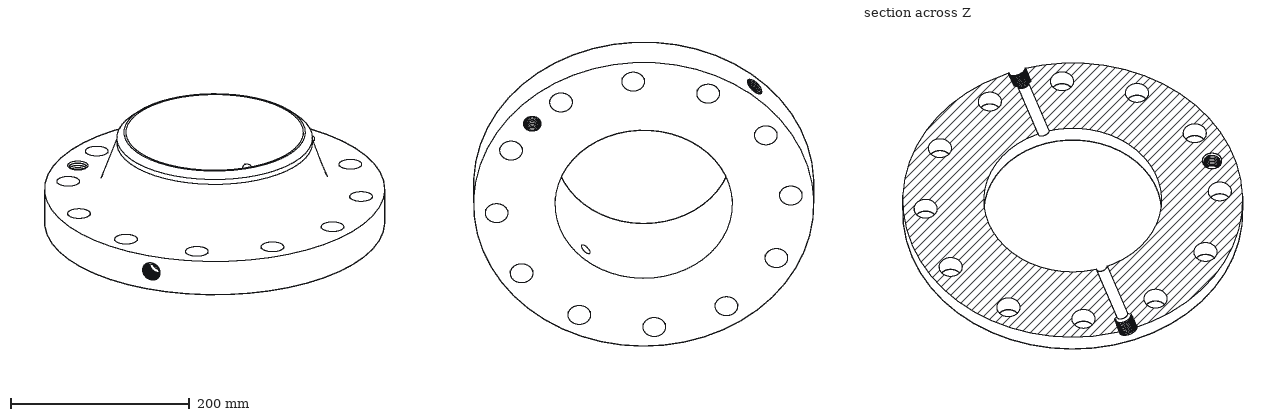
import cadquery as cq
import math


flange_dia = 381.0
flange_thickness = 41.3

total_height = 111.25
hub_base_dia = 260.4
hub_fillet_radius = 3.0
neck_dia = 219.1
bore_dia = 198.5
neck_length = 12.7
weld_land = 2.3
bevel_height = 6.7

bolt_count = 12
bolt_hole_dia = 25.4
bolt_circle_dia = 330.2

jack_major_dia = 22.8
jack_minor_dia = 18.6
jack_pitch = 25.4 / 9

tap_height = 22.2
tap_hole_dia = 12.7
tap_major_dia = 21.3
tap_pitch = 25.4 / 14
tap_thread_height = 1.38
tap_minor_dia = tap_major_dia - 2 * tap_thread_height
tap_thread_count = 11
tap_radius_taper = 1 / 32
drill_tip_half_angle = 59.0

clearance = 2.0


def make_body():
    """Disc, conical hub, bevelled neck and bore, as one revolved section."""
    bore_radius = bore_dia / 2
    neck_radius = neck_dia / 2
    land_radius = bore_radius + weld_land
    section = (
        cq.Workplane("XZ")
        .moveTo(bore_radius, 0)
        .lineTo(flange_dia / 2, 0)
        .lineTo(flange_dia / 2, flange_thickness)
        .lineTo(hub_base_dia / 2, flange_thickness)
        .lineTo(neck_radius, total_height - neck_length)
        .lineTo(neck_radius, total_height - bevel_height)
        .lineTo(land_radius, total_height)
        .lineTo(bore_radius, total_height)
        .close()
    )
    body = section.revolve(360, (0, 0, 0), (0, 1, 0))
    hub_foot = cq.selectors.RadiusNthSelector(-2)
    return body.edges("%CIRCLE").edges(hub_foot).fillet(hub_fillet_radius)


def make_thread_cutter(major_dia, minor_dia, pitch, turns, radius_taper=0.0):
    """Bar with ring-shaped V threads along +Z from Z = 0, narrowing by radius_taper."""
    outline = cq.Workplane("XZ").moveTo(0, 0).lineTo(minor_dia / 2, 0)
    for turn in range(turns):
        root_depth = (turn + 0.5) * pitch
        crest_depth = (turn + 1) * pitch
        outline = outline.lineTo(major_dia / 2 - radius_taper * root_depth, root_depth)
        outline = outline.lineTo(minor_dia / 2 - radius_taper * crest_depth, crest_depth)
    outline = outline.lineTo(0, turns * pitch).close()
    return outline.revolve(360, (0, 0, 0), (0, 1, 0))


def make_bolt_holes():
    """Through holes straddling the X and Y axes."""
    half_step = 180 / bolt_count
    return (
        cq.Workplane("XY")
        .polarArray(bolt_circle_dia / 2, half_step, 360, bolt_count)
        .circle(bolt_hole_dia / 2)
        .extrude(flange_thickness)
    )


def make_jack_hole():
    """Threaded hole through the disc at -X, with a full thread groove at the top face."""
    lead_in = jack_pitch / 2
    turns = math.ceil((flange_thickness + lead_in) / jack_pitch)
    cutter = make_thread_cutter(jack_major_dia, jack_minor_dia, jack_pitch, turns)
    cutter = cutter.rotate((0, 0, 0), (1, 0, 0), 180)
    return cutter.translate((-bolt_circle_dia / 2, 0, flange_thickness + lead_in))


def make_pressure_tap():
    """Radial hole from -Y: pipe thread, drill cone, then a small hole into the bore."""
    thread = make_thread_cutter(
        tap_major_dia, tap_minor_dia, tap_pitch, tap_thread_count, tap_radius_taper
    )
    thread_depth = tap_thread_count * tap_pitch
    end_radius = tap_minor_dia / 2 - tap_radius_taper * thread_depth
    tip_length = end_radius / math.tan(math.radians(drill_tip_half_angle))
    drill_tip = cq.Workplane(cq.Solid.makeCone(end_radius, 0, tip_length)).translate((0, 0, thread_depth))
    hole_length = (flange_dia - bore_dia) / 2 + clearance
    hole = cq.Workplane("XY").circle(tap_hole_dia / 2).extrude(hole_length)
    cutter = thread.union(drill_tip).union(hole)
    return cutter.rotate((0, 0, 0), (1, 0, 0), -90).translate((0, -flange_dia / 2, tap_height))


body = make_body()
body = body.cut(make_bolt_holes())
body = body.cut(make_jack_hole())
pressure_tap = make_pressure_tap()
for tap_angle in (0, 180):
    body = body.cut(pressure_tap.rotate((0, 0, 0), (0, 0, 1), tap_angle))

result = body